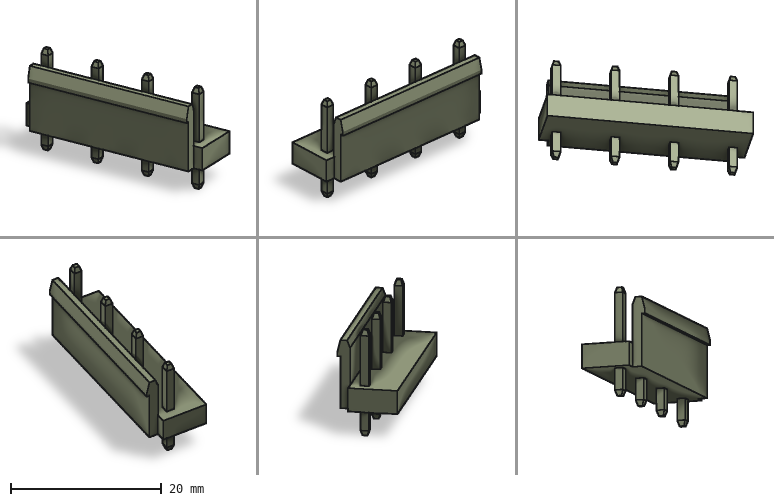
import cadquery as cq

base_length = 27.72
base_depth = 6.68
base_height = 3.25

wall_end_inset = 1.35
wall_length = base_length - 2 * wall_end_inset
wall_rear_y = -6.65
wall_thickness = 1.33
wall_height = 9.42
rear_chamfer_depth = 0.42
rear_chamfer_height = 1.0

lip_overhang = 0.42
lip_bottom_z = 7.15
lip_face_height = 0.58

pin_count = 4
pin_pitch = 7.93
pin_y = -4.7
pin_side = 1.15
pin_tip_side = 0.65
pin_tip_height = 0.75
pin_bottom_z = -3.7
pin_top_z = 10.92


def make_base():
    block = cq.Workplane("XY").box(base_length, base_depth, base_height, centered=(True, False, False))
    return block.translate((0, -base_depth, 0))


def make_wall():
    """Extrude the wall and lip cross-section along X."""
    wall_front_y = wall_rear_y - wall_thickness
    lip_front_y = wall_front_y - lip_overhang
    profile = [
        (wall_rear_y, 0),
        (wall_front_y, 0),
        (wall_front_y, lip_bottom_z),
        (lip_front_y, lip_bottom_z),
        (lip_front_y, lip_bottom_z + lip_face_height),
        (wall_front_y, wall_height),
        (wall_rear_y - rear_chamfer_depth, wall_height),
        (wall_rear_y, wall_height - rear_chamfer_height),
    ]
    return cq.Workplane("YZ").polyline(profile).close().extrude(wall_length / 2, both=True)


def pin_section(x, bottom_z, bottom_side, top_z, top_side):
    """Square column whose side varies linearly between two heights."""
    return (
        cq.Workplane("XY", origin=(x, pin_y, bottom_z))
        .rect(bottom_side, bottom_side)
        .workplane(offset=top_z - bottom_z)
        .rect(top_side, top_side)
        .loft(ruled=True)
    )


def make_pin(x):
    shaft_bottom_z = pin_bottom_z + pin_tip_height
    shaft_top_z = pin_top_z - pin_tip_height
    shaft = pin_section(x, shaft_bottom_z, pin_side, shaft_top_z, pin_side)
    lower_tip = pin_section(x, pin_bottom_z, pin_tip_side, shaft_bottom_z, pin_side)
    upper_tip = pin_section(x, shaft_top_z, pin_side, pin_top_z, pin_tip_side)
    return shaft.union(lower_tip).union(upper_tip)


result = make_base().union(make_wall())
for index in range(pin_count):
    pin_x = (index - (pin_count - 1) / 2) * pin_pitch
    result = result.union(make_pin(pin_x))